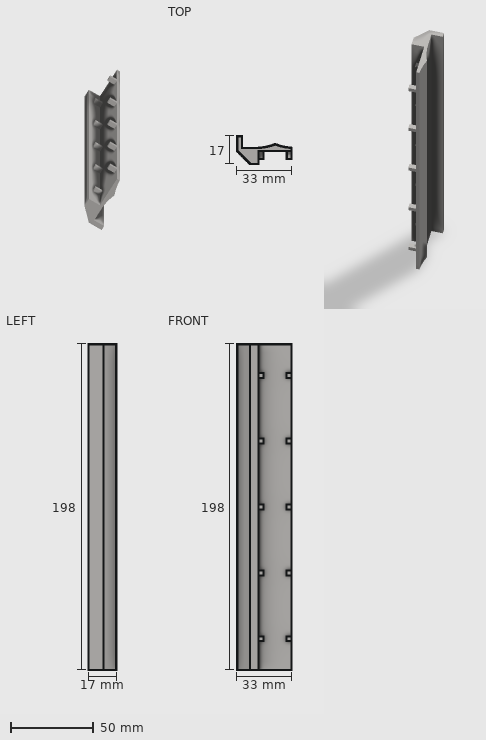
import cadquery as cq

length = 198.0
width = 33.0
depth = 17.0

lip_thickness = 3.0
shelf_drop = 7.1
plate_thickness = 2.0
foot_right = 13.0
chamfer_size = 8.0
ridge_height = 2.2
flank_sag = 0.4

peg_size = 3.0
peg_height = 5.0
peg_rows = 5
peg_pitch = 40.0

shelf_y = -shelf_drop
plate_bottom_y = shelf_y - plate_thickness
ridge_x = (foot_right + width) / 2
ridge_y = shelf_y + ridge_height
flank_mid_y = (shelf_y + ridge_y) / 2 - flank_sag
left_flank_mid_x = (foot_right + ridge_x) / 2
right_flank_mid_x = (ridge_x + width) / 2


def make_rail():
    """Constant section: upright lip, bevelled foot and ridged plate."""
    return (
        cq.Workplane("XY")
        .moveTo(0, 0)
        .lineTo(lip_thickness, 0)
        .lineTo(lip_thickness, shelf_y)
        .lineTo(foot_right, shelf_y)
        .threePointArc((left_flank_mid_x, flank_mid_y), (ridge_x, ridge_y))
        .threePointArc((right_flank_mid_x, flank_mid_y), (width, shelf_y))
        .lineTo(width, plate_bottom_y)
        .lineTo(foot_right, plate_bottom_y)
        .lineTo(foot_right, -depth)
        .lineTo(chamfer_size, -depth)
        .lineTo(0, -depth + chamfer_size)
        .close()
        .extrude(length)
    )


def make_peg(left_x, center_z):
    """Square peg hanging from the underside of the plate."""
    return (
        cq.Workplane("XY")
        .box(peg_size, peg_height, peg_size, centered=(False, False, True))
        .translate((left_x, plate_bottom_y - peg_height, center_z))
    )


result = make_rail()
first_peg_z = (length - (peg_rows - 1) * peg_pitch) / 2
for row in range(peg_rows):
    peg_z = first_peg_z + row * peg_pitch
    for peg_x in (foot_right, width - peg_size):
        result = result.union(make_peg(peg_x, peg_z))